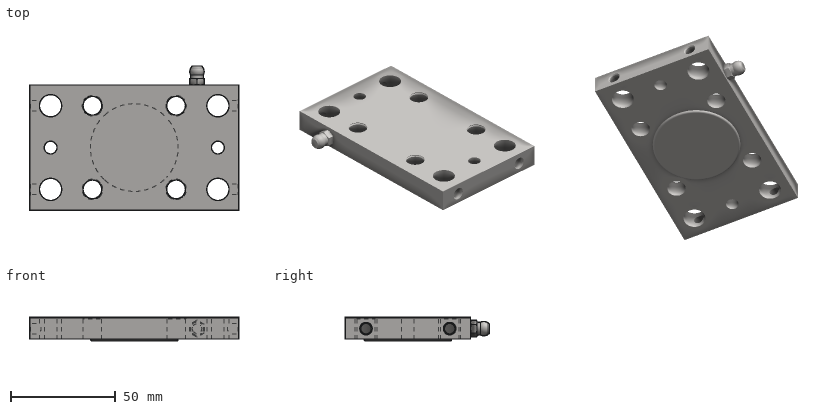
import cadquery as cq
import math

plate_length = 100.0
plate_width = 60.0
plate_thickness = 10.0
mid_height = plate_thickness / 2

sheet_thickness = 0.5
stack_height = plate_thickness + sheet_thickness

hole_row_y = 20.0
corner_hole_x = 40.0
corner_hole_diameter = 10.5
inner_hole_x = 20.0
inner_hole_diameter = 8.8
inner_hole_mouth_diameter = 9.8
inner_hole_mouth_depth = (inner_hole_mouth_diameter - inner_hole_diameter) / 2
inner_hole_top_diameter = 9.0
dowel_hole_diameter = 6.0

port_diameter = 5.0
port_mouth_diameter = 6.0
port_mouth_depth = (port_mouth_diameter - port_diameter) / 2

pad_diameter = 42.0
pad_height = 1.0

nipple_x = 30.0
nipple_length = 9.0
hex_across_flats = 7.0
hex_across_corners = hex_across_flats / math.cos(math.radians(30))
hex_length = 3.1
hex_chamfer_depth = 0.3
hex_chamfer_radius = hex_across_flats / 2
ball_radius = 3.5
ball_centre = 6.3
ball_start = 4.7
ball_end = 8.1
tip_radius = 2.3
neck_base_radius = 3.2


def mirrored_points(x, y):
    """The four points at plus and minus x, plus and minus y."""
    return [(side_x * x, side_y * y) for side_x in (-1, 1) for side_y in (-1, 1)]


def vertical_holes(points, diameter):
    """Cylinders through plate and sheet at the given points."""
    return cq.Workplane("XY").pushPoints(points).circle(diameter / 2).extrude(stack_height)


def drilled(body):
    """Cut the plain holes shared by the plate and the sheet."""
    body = body.cut(vertical_holes(mirrored_points(corner_hole_x, hole_row_y), corner_hole_diameter))
    dowel_points = [(-corner_hole_x, 0), (corner_hole_x, 0)]
    return body.cut(vertical_holes(dowel_points, dowel_hole_diameter))


def cones(bottom_diameter, top_diameter, bottom_z, height):
    """Upright truncated cones, one on each inner hole axis."""
    cone = cq.Solid.makeCone(bottom_diameter / 2, top_diameter / 2, height)
    centres = mirrored_points(inner_hole_x, hole_row_y)
    return [cone.translate(cq.Vector(x, y, bottom_z)) for x, y in centres]


def end_port(side, y):
    """Port with a chamfered mouth, from the end face at the given side to the corner hole axis."""
    depth = plate_length / 2 - corner_hole_x
    profile = [
        (0, 0),
        (port_mouth_diameter / 2, 0),
        (port_diameter / 2, port_mouth_depth),
        (port_diameter / 2, depth),
        (0, depth),
    ]
    port = cq.Workplane("XY").polyline(profile).close().revolve(360, (0, 0, 0), (0, 1, 0))
    port = port.rotate((0, 0, 0), (0, 0, 1), 90 * side)
    return port.translate((side * plate_length / 2, y, mid_height))


def make_plate():
    plate = cq.Workplane("XY").box(plate_length, plate_width, plate_thickness, centered=(True, True, False))
    plate = drilled(plate)
    for side, row in mirrored_points(1, 1):
        plate = plate.cut(end_port(side, row * hole_row_y))
    plate = plate.cut(vertical_holes(mirrored_points(inner_hole_x, hole_row_y), inner_hole_diameter))
    mouth_bottom = plate_thickness - inner_hole_mouth_depth
    mouths = cones(inner_hole_diameter, inner_hole_mouth_diameter, mouth_bottom, inner_hole_mouth_depth)
    for mouth in mouths:
        plate = plate.cut(cq.Workplane(mouth))
    return plate


def make_sheet():
    sheet = cq.Workplane("XY").workplane(offset=plate_thickness)
    sheet = sheet.box(plate_length, plate_width, sheet_thickness, centered=(True, True, False))
    sheet = drilled(sheet)
    openings = cones(inner_hole_mouth_diameter, inner_hole_top_diameter, plate_thickness, sheet_thickness)
    for opening in openings:
        sheet = sheet.cut(cq.Workplane(opening))
    return sheet


def make_pad():
    """Disc whose whole rim is a quarter round, tangent to its flat underside."""
    flat_radius = pad_diameter / 2 - pad_height
    arc_reach = pad_height * math.sqrt(0.5)
    return (
        cq.Workplane("XZ")
        .lineTo(pad_diameter / 2, 0)
        .threePointArc((flat_radius + arc_reach, -arc_reach), (flat_radius, -pad_height))
        .lineTo(0, -pad_height)
        .close()
        .revolve(360, (0, 0, 0), (0, 1, 0))
    )


def make_nipple():
    """Nipple built along +Z from the origin, then laid along +Y on the plate face."""
    hexagon = cq.Workplane("XY").polygon(6, hex_across_corners).extrude(hex_length)
    corner_radius = hex_across_corners / 2
    chamfer_profile = [
        (0, 0),
        (hex_chamfer_radius, 0),
        (corner_radius, hex_chamfer_depth),
        (corner_radius, hex_length - hex_chamfer_depth),
        (hex_chamfer_radius, hex_length),
        (0, hex_length),
    ]
    turned = cq.Workplane("XZ").polyline(chamfer_profile).close().revolve(360, (0, 0, 0), (0, 1, 0))
    hexagon = hexagon.intersect(turned)

    neck_radius = math.sqrt(ball_radius**2 - (ball_start - ball_centre) ** 2)
    nose_radius = math.sqrt(ball_radius**2 - (ball_end - ball_centre) ** 2)
    head = (
        cq.Workplane("XZ")
        .moveTo(0, hex_length)
        .lineTo(neck_base_radius, hex_length)
        .lineTo(neck_radius, ball_start)
        .threePointArc((ball_radius, ball_centre), (nose_radius, ball_end))
        .lineTo(tip_radius, nipple_length)
        .lineTo(0, nipple_length)
        .close()
        .revolve(360, (0, 0, 0), (0, 1, 0))
    )
    nipple = hexagon.union(head).rotate((0, 0, 0), (0, 0, 1), 90)
    nipple = nipple.rotate((0, 0, 0), (1, 0, 0), -90)
    return nipple.translate((nipple_x, plate_width / 2, mid_height))


plate = make_plate()
sheet = make_sheet()
pad = make_pad()
nipple = make_nipple()

result = cq.Compound.makeCompound([plate.val(), sheet.val(), pad.val(), nipple.val()])